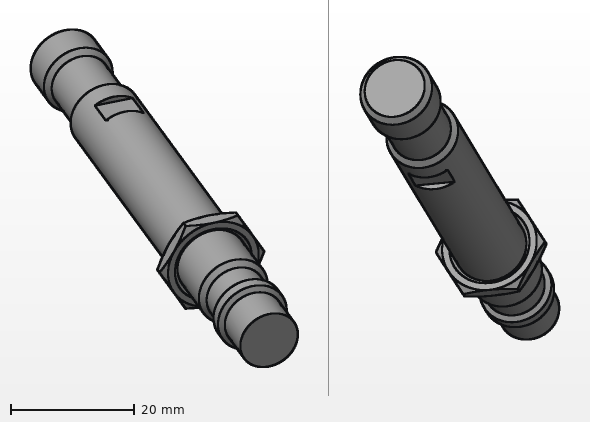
import cadquery as cq
import math

length = 93.0
body_radius = 6.0
neck_radius = 5.0
chamfer = body_radius - neck_radius
head_length = 8.0
barrel_start = 18.0
barrel_end = 77.8
collar_start = 82.9
collar_end = 86.0
collar_chamfer_length = 0.6

flat_start = 23.0
flat_length = 4.9
flat_half_height = neck_radius

nut_start = 65.5
nut_width = 2.4
nut_across_flats = 15.8
nut_across_corners = nut_across_flats / math.cos(math.pi / 6)
nut_chamfer_angle = 30.0
countersink_radius = 6.7
countersink_depth = countersink_radius - body_radius


def turned(points):
    """Revolve a closed (x, radius) outline about the X axis."""
    return cq.Workplane("XY").polyline(points).close().revolve(360, (0, 0, 0), (1, 0, 0))


def shoulder(start, end, radius, chamfer_length):
    """Outline points of a raised section that is chamfered down to the neck at both ends."""
    return [
        (start, neck_radius),
        (start + chamfer_length, radius),
        (end - chamfer_length, radius),
        (end, neck_radius),
    ]


def make_shaft():
    outline = [
        (0, 0),
        *shoulder(0, head_length, body_radius, chamfer),
        *shoulder(barrel_start, barrel_end, body_radius, chamfer),
        *shoulder(collar_start, collar_end, body_radius, collar_chamfer_length),
        (length, neck_radius),
        (length, 0),
    ]
    shaft = turned(outline)

    cut_height = body_radius - flat_half_height
    for side in (1, -1):
        block = cq.Workplane("XY").box(flat_length, 2 * body_radius, cut_height)
        center_x = flat_start + flat_length / 2
        center_z = side * (flat_half_height + cut_height / 2)
        shaft = shaft.cut(block.translate((center_x, 0, center_z)))
    return shaft


def make_nut():
    nut_end = nut_start + nut_width
    hexagon = (
        cq.Workplane("YZ", origin=(nut_start, 0, 0))
        .polygon(6, nut_across_corners)
        .extrude(nut_width)
    )

    face_radius = nut_across_flats / 2
    corner_radius = nut_across_corners / 2
    bevel = (corner_radius - face_radius) * math.tan(math.radians(nut_chamfer_angle))
    bevelled_disc = turned([
        (nut_start, 0),
        (nut_start, face_radius),
        (nut_start + bevel, corner_radius),
        (nut_end - bevel, corner_radius),
        (nut_end, face_radius),
        (nut_end, 0),
    ])

    bore = turned([
        (nut_start, 0),
        (nut_start, countersink_radius),
        (nut_start + countersink_depth, body_radius),
        (nut_end - countersink_depth, body_radius),
        (nut_end, countersink_radius),
        (nut_end, 0),
    ])
    return hexagon.intersect(bevelled_disc).cut(bore)


shaft = make_shaft()
nut = make_nut()
result = cq.Compound.makeCompound([shaft.val(), nut.val()])